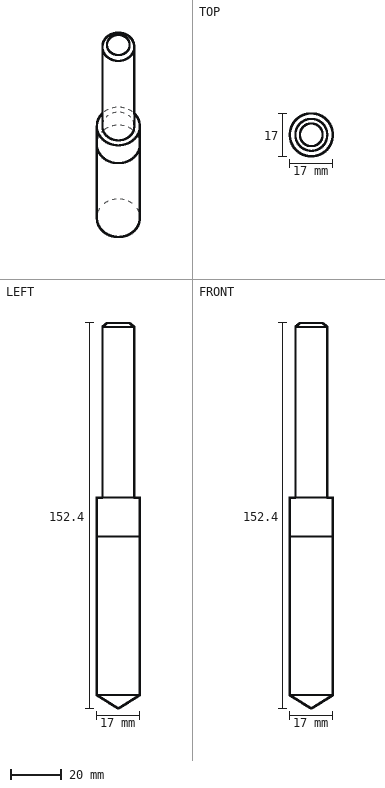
import cadquery as cq

total_length = 152.4
body_diameter = 17.0
shank_diameter = 12.6

tip_height = 5.3
shank_length = 69.0
collar_length = 15.2

chamfer_height = 1.5
chamfer_width = 1.8

body_radius = body_diameter / 2
shank_radius = shank_diameter / 2
shoulder_z = total_length - shank_length
joint_z = shoulder_z - collar_length


def make_cutter():
    """Cylinder with a conical point at the origin, ending flat at the joint."""
    return (
        cq.Workplane("XZ")
        .lineTo(body_radius, tip_height)
        .lineTo(body_radius, joint_z)
        .lineTo(0, joint_z)
        .close()
        .revolve(360, (0, 0, 0), (0, 1, 0))
    )


def make_shank():
    """Collar flush with the cutter, with a thinner chamfered shank above it."""
    return (
        cq.Workplane("XZ")
        .moveTo(0, joint_z)
        .lineTo(body_radius, joint_z)
        .lineTo(body_radius, shoulder_z)
        .lineTo(shank_radius, shoulder_z)
        .lineTo(shank_radius, total_length - chamfer_height)
        .lineTo(shank_radius - chamfer_width, total_length)
        .lineTo(0, total_length)
        .close()
        .revolve(360, (0, 0, 0), (0, 1, 0))
    )


cutter = make_cutter()
shank = make_shank()

result = cq.Compound.makeCompound([cutter.val(), shank.val()])